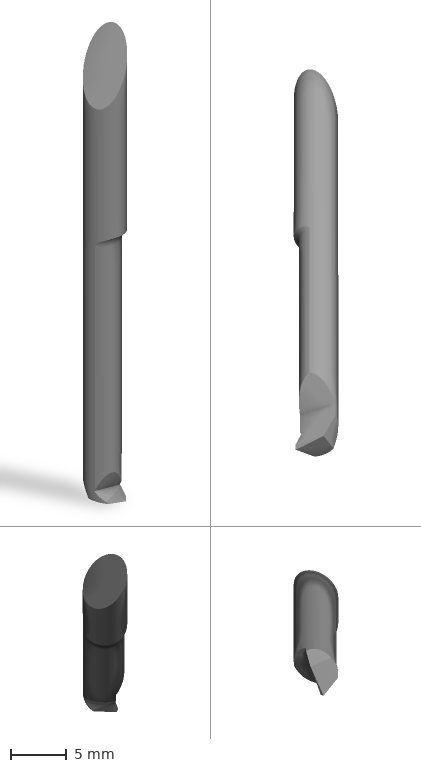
import cadquery as cq
import math

length = 45.7
shank_radius = 1.99
bevel_slope = math.tan(math.radians(60))
margin = 9.15

neck_offset = 0.5
neck_top = 25.4
neck_fillet = 1.0

back_flat_y = 0.25
back_slope_foot = 4.0

side_bevel_top = 2.4

groove_direction = (0.8, -0.6)
groove_depth = 1.33
groove_root_z = 1.45
groove_slope = 2.6
head_slope = 1.2

cutting_point = (shank_radius, 0.0, 0.0)
relief_x = 0.14
relief_y = 0.09
rake_height = 0.4

side_relief_top = (1.35, back_flat_y, groove_root_z)
side_relief_front = (0.82, -1.65, 0.65)

seat_top_x = -0.25
seat_bottom_x = 0.55


def beyond(point, normal):
    """Large block on the outer side of a plane, used to cut it away."""
    size = length * 3
    plane = cq.Plane(origin=point, normal=normal)
    return cq.Workplane(plane).rect(size, size).extrude(size)


def make_bar():
    return cq.Workplane("XY").circle(shank_radius).extrude(length)


def cut_top(bar):
    middle_z = length - shank_radius * bevel_slope
    return bar.cut(beyond((0, 0, middle_z), (0, -bevel_slope, 1)))


def cut_neck(bar):
    """Ring around the offset neck, with a filleted upper shoulder."""
    outer_radius = shank_radius + neck_fillet
    bend = neck_fillet * math.sqrt(0.5)
    ring = (
        cq.Workplane("XZ")
        .moveTo(shank_radius, groove_root_z)
        .lineTo(shank_radius, neck_top)
        .threePointArc(
            (outer_radius - bend, neck_top + bend),
            (outer_radius, neck_top + neck_fillet),
        )
        .lineTo(outer_radius, groove_root_z)
        .close()
        .revolve(360, (0, 0, 0), (0, 1, 0))
        .translate((-neck_offset, 0, 0))
    )
    return bar.cut(ring)


def cut_back(bar):
    """Flat behind the cutting end, running out along a slope."""
    slope_rise = margin * bevel_slope
    profile = (
        cq.Workplane("YZ")
        .moveTo(back_flat_y, -margin)
        .lineTo(back_flat_y, back_slope_foot)
        .lineTo(back_flat_y + margin, back_slope_foot + slope_rise)
        .lineTo(back_flat_y + margin, -margin)
        .close()
        .extrude(margin, both=True)
    )
    return bar.cut(profile)


def cut_groove(bar):
    """V groove: a long upper face, and a lower face that forms the cutting head."""
    upper_rise = margin / 2
    head_reach = groove_root_z / head_slope
    frame = cq.Plane(
        origin=(-neck_offset, 0, 0),
        xDir=(*groove_direction, 0),
        normal=(groove_direction[1], -groove_direction[0], 0),
    )
    groove = (
        cq.Workplane(frame)
        .moveTo(groove_depth, groove_root_z)
        .lineTo(groove_depth + upper_rise / groove_slope, groove_root_z + upper_rise)
        .lineTo(margin, groove_root_z + upper_rise)
        .lineTo(margin, 0)
        .lineTo(groove_depth + head_reach, 0)
        .close()
        .extrude(margin, both=True)
    )
    return bar.cut(groove)


def cut_end_faces(bar):
    """Left bevel, bottom relief, and rake behind the cutting point."""
    bar = bar.cut(beyond((-shank_radius, 0, side_bevel_top), (-bevel_slope, 0, -1)))
    bar = bar.cut(beyond(cutting_point, (-relief_x, -relief_y, -1)))
    return bar.cut(beyond(cutting_point, (0, rake_height, -back_flat_y)))


def cut_side_relief(bar):
    point = cq.Vector(*cutting_point)
    to_top = cq.Vector(*side_relief_top) - point
    to_front = cq.Vector(*side_relief_front) - point
    relief = beyond(cutting_point, to_top.cross(to_front).toTuple())
    below_groove = cq.Workplane("XY").box(margin, margin, groove_root_z, centered=(True, True, False))
    return bar.cut(relief.intersect(below_groove))


def make_tip_region():
    """Space taken by the cutting tip: below the groove root, right of the seat."""
    return (
        cq.Workplane("XZ")
        .moveTo(seat_top_x, groove_root_z)
        .lineTo(margin, groove_root_z)
        .lineTo(margin, 0)
        .lineTo(seat_bottom_x, 0)
        .close()
        .extrude(margin, both=True)
    )


tool = make_bar()
tool = cut_top(tool)
tool = cut_neck(tool)
tool = cut_back(tool)
tool = cut_groove(tool)
tool = cut_end_faces(tool)
tool = cut_side_relief(tool)

tip_region = make_tip_region()
holder = tool.cut(tip_region)
tip = tool.intersect(tip_region)

result = cq.Compound.makeCompound([*holder.vals(), *tip.vals()])